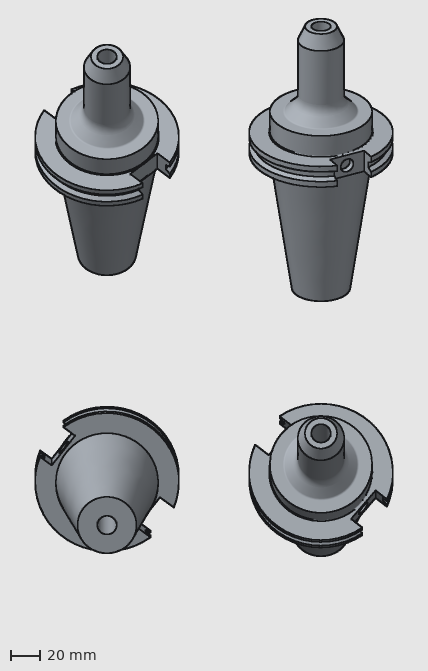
import cadquery as cq
import math

total_length = 203.2
bore_radius = 6.6

gauge_height = 101.5
gauge_radius = 35.0
taper_on_diameter = 7 / 24
small_end_radius = gauge_radius - gauge_height * taper_on_diameter / 2

flange_bottom = 104.9
flange_thickness = 16.0
flange_top = flange_bottom + flange_thickness
flange_middle = flange_bottom + flange_thickness / 2
flange_radius = 49.2
groove_depth = 3.7
groove_floor_width = 3.9
groove_flank_rise = 1.8
groove_floor_half = groove_floor_width / 2
groove_mouth_half = groove_floor_half + groove_flank_rise
groove_floor_radius = flange_radius - groove_depth

collar_radius = 35.0
collar_top = 137.0
collar_base_fillet = 0.6

shank_radius = 15.8
nose_radius = 11.0
nose_length = 10.5

skirt_angle = math.radians(45)
neck_blend_top = 150.5
neck_blend_radius = 10.2
foot_blend_radius = 1.8
foot_radius = 26.0

slot_width = 26.5
left_slot_floor = 37.4
right_slot_floor = 35.4

side_hole_radius = 4.9
side_hole_depth = 4.9


def arc_point(center, radius, angle):
    """Point on a circle, with the angle measured from the +X direction."""
    return (center[0] + radius * math.cos(angle), center[1] + radius * math.sin(angle))


def make_body():
    """Revolve the half profile (radius, height) about Z."""
    neck_center = (shank_radius + neck_blend_radius, neck_blend_top)
    neck_bottom = arc_point(neck_center, neck_blend_radius, math.pi + skirt_angle)
    neck_middle = arc_point(neck_center, neck_blend_radius, math.pi + skirt_angle / 2)

    foot_center = (foot_radius, collar_top + foot_blend_radius)
    foot_top = arc_point(foot_center, foot_blend_radius, math.pi + skirt_angle)
    foot_middle = arc_point(foot_center, foot_blend_radius, math.pi + 1.5 * skirt_angle)

    fillet_radius = collar_radius + collar_base_fillet
    fillet_center = (fillet_radius, flange_top + collar_base_fillet)
    fillet_middle = arc_point(fillet_center, collar_base_fillet, math.radians(225))

    profile = (
        cq.Workplane("XZ")
        .moveTo(bore_radius, 0)
        .lineTo(small_end_radius, 0)
        .lineTo(gauge_radius, gauge_height)
        .lineTo(gauge_radius, flange_bottom)
        .lineTo(flange_radius, flange_bottom)
        .lineTo(flange_radius, flange_middle - groove_mouth_half)
        .lineTo(groove_floor_radius, flange_middle - groove_floor_half)
        .lineTo(groove_floor_radius, flange_middle + groove_floor_half)
        .lineTo(flange_radius, flange_middle + groove_mouth_half)
        .lineTo(flange_radius, flange_top)
        .lineTo(fillet_radius, flange_top)
        .threePointArc(fillet_middle, (collar_radius, flange_top + collar_base_fillet))
        .lineTo(collar_radius, collar_top)
        .lineTo(foot_radius, collar_top)
        .threePointArc(foot_middle, foot_top)
        .lineTo(*neck_bottom)
        .threePointArc(neck_middle, (shank_radius, neck_blend_top))
        .lineTo(shank_radius, total_length - nose_length)
        .lineTo(nose_radius, total_length)
        .lineTo(bore_radius, total_length)
        .close()
    )
    return profile.revolve(360, (0, 0, 0), (0, 1, 0))


def make_slot(side, floor):
    """Block that cuts a drive slot; side is -1 for -X and +1 for +X."""
    depth = flange_radius - floor
    return (
        cq.Workplane("XY", origin=(side * (floor + depth / 2), 0, flange_middle))
        .box(depth, slot_width, flange_thickness)
    )


def make_side_hole():
    """Cylinder that starts at the -X slot floor and runs toward +X."""
    return (
        cq.Workplane("YZ", origin=(-left_slot_floor, 0, flange_middle))
        .circle(side_hole_radius)
        .extrude(side_hole_depth)
    )


result = (
    make_body()
    .cut(make_slot(-1, left_slot_floor))
    .cut(make_slot(1, right_slot_floor))
    .cut(make_side_hole())
)